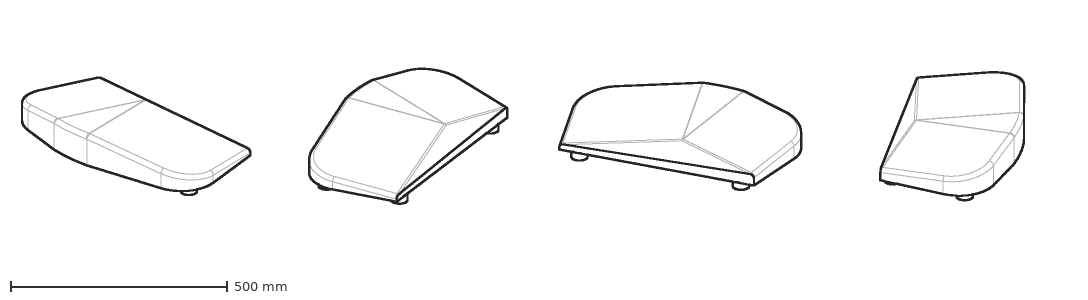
import cadquery as cq
import math

LEFT_TURN = 12.9
RIGHT_TURN = 11.7
LEFT_WIDTH = 201.0
RIGHT_WIDTH = 291.5
DEPTH = 251.5
MIDDLE_DEPTH = 249.5
CORNER_RADIUS = 88.0
LEFT_BACK_Y = 41.5
RIGHT_BACK_Y = 55.0

APEX_HEIGHT = 59.0
FRONT_RISE = 0.085
WING_FALL = 0.15
EDGE_RADIUS = 10.0

FOOT_DIAMETER = 38.5
FOOT_HEIGHT = 20.0
LEFT_FEET = ((156.5, 14.5), (156.5, 198.0))
RIGHT_FEET = ((246.0, 15.5), (246.0, 197.0))

CUTTER_SIZE = 1666


def wing_axes(side, turn):
    """Unit plan vectors of a wing: outward and forward; side is -1 or 1."""
    angle = math.radians(turn)
    outward = cq.Vector(side * math.cos(angle), math.sin(angle))
    forward = cq.Vector(side * math.sin(angle), -math.cos(angle))
    return outward, forward


left_axes = wing_axes(-1, LEFT_TURN)
right_axes = wing_axes(1, RIGHT_TURN)


def wing_point(axes, out, ahead):
    outward, forward = axes
    return outward * out + forward * ahead


def xy(point):
    return (point.x, point.y)


def back_corner(axes, width, y):
    """Point of the wing's outer side that lies at the given y."""
    outward, forward = axes
    return wing_point(axes, width, (y - width * outward.y) / forward.y)


def corner_points(axes, width):
    """Rear end, middle and front end of a wing's rounded front corner."""
    out = width - CORNER_RADIUS
    ahead = DEPTH - CORNER_RADIUS
    diagonal = CORNER_RADIUS * math.sqrt(0.5)
    rear = wing_point(axes, width, ahead)
    middle = wing_point(axes, out + diagonal, ahead + diagonal)
    front = wing_point(axes, out, DEPTH)
    return xy(rear), xy(middle), xy(front)


def make_block():
    left_rear, left_middle, left_front = corner_points(left_axes, LEFT_WIDTH)
    right_rear, right_middle, right_front = corner_points(right_axes, RIGHT_WIDTH)
    outline = (
        cq.Workplane("XY")
        .moveTo(*xy(back_corner(left_axes, LEFT_WIDTH, LEFT_BACK_Y)))
        .lineTo(*left_rear)
        .threePointArc(left_middle, left_front)
        .lineTo(*xy(wing_point(left_axes, 0, DEPTH)))
        .threePointArc((0, -MIDDLE_DEPTH), xy(wing_point(right_axes, 0, DEPTH)))
        .lineTo(*right_front)
        .threePointArc(right_middle, right_rear)
        .lineTo(*xy(back_corner(right_axes, RIGHT_WIDTH, RIGHT_BACK_Y)))
        .close()
    )
    return outline.extrude(2 * APEX_HEIGHT)


def above_plane(first, second):
    """Cutter above the plane through the apex that holds both directions."""
    normal = first.cross(second)
    if normal.z < 0:
        normal = normal * -1
    plane = cq.Plane(origin=(0, 0, APEX_HEIGHT), xDir=first, normal=normal)
    return cq.Workplane(plane).rect(CUTTER_SIZE, CUTTER_SIZE).extrude(CUTTER_SIZE)


def top_direction(axes, width, y):
    """Vector from the apex to the top of a back corner, along the wing's top face."""
    corner = back_corner(axes, width, y)
    rise = FRONT_RISE * corner.dot(axes[1]) - WING_FALL * width
    return corner + cq.Vector(0, 0, rise)


def make_body():
    body = make_block()
    creases = []
    for outward, forward in (left_axes, right_axes):
        crease = forward + cq.Vector(0, 0, FRONT_RISE)
        across = outward - cq.Vector(0, 0, WING_FALL)
        body = body.cut(above_plane(crease, across))
        creases.append(crease)
    body = body.cut(above_plane(*creases))
    left_valley = top_direction(left_axes, LEFT_WIDTH, LEFT_BACK_Y)
    right_valley = top_direction(right_axes, RIGHT_WIDTH, RIGHT_BACK_Y)
    body = body.cut(above_plane(left_valley, right_valley))
    top_faces = body.faces().filter(lambda face: face.normalAt().z > 0.1 and face.Center().y < 0)
    return body.newObject(top_faces.edges().vals()).fillet(EDGE_RADIUS)


def make_feet(axes, positions):
    centres = [xy(wing_point(axes, *position)) for position in positions]
    return (
        cq.Workplane("XY").pushPoints(centres)
        .circle(FOOT_DIAMETER / 2).extrude(-FOOT_HEIGHT)
    )


result = (
    make_body()
    .union(make_feet(left_axes, LEFT_FEET))
    .union(make_feet(right_axes, RIGHT_FEET))
)